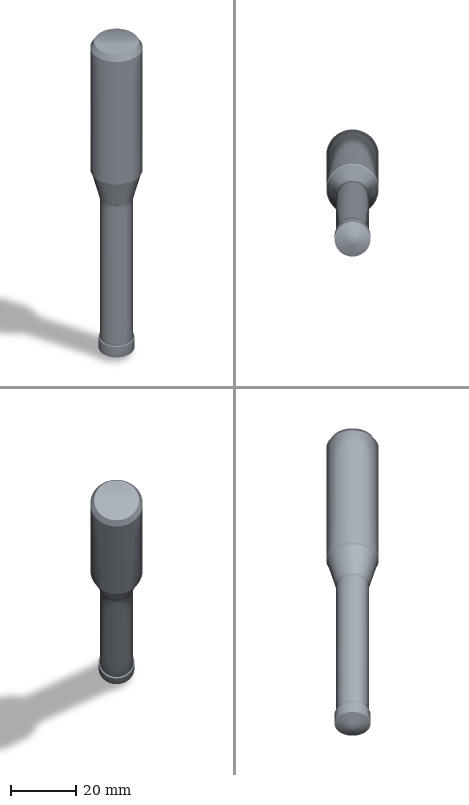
import cadquery as cq

total_length = 117.0
point_height = 2.0
tip_land_length = 4.0
taper_bottom = 58.7
taper_top = 68.9
top_chamfer_height = 2.0

shank_radius = 16.0 / 2
neck_radius = 10.0 / 2
tip_radius = 11.0 / 2
top_chamfer_width = 1.2

taper_bevel = 0.2

tip_top = point_height + tip_land_length


def revolve_profile(points):
    """Turn a closed (radius, height) outline about the Z axis."""
    return cq.Workplane("XZ").polyline(points).close().revolve(360, (0, 0), (0, 1))


def make_holder():
    """Neck, taper and chamfered shank, turned as one piece."""
    return revolve_profile([
        (0, tip_top),
        (neck_radius, tip_top),
        (neck_radius, taper_bottom),
        (neck_radius + taper_bevel, taper_bottom + taper_bevel),
        (shank_radius - taper_bevel, taper_top - taper_bevel),
        (shank_radius, taper_top),
        (shank_radius, total_length - top_chamfer_height),
        (shank_radius - top_chamfer_width, total_length),
        (0, total_length),
    ])


def make_tip():
    """Short cylindrical cutting head with a conical point."""
    return revolve_profile([
        (0, 0),
        (tip_radius, point_height),
        (tip_radius, tip_top),
        (0, tip_top),
    ])


holder = make_holder()
tip = make_tip()

result = cq.Compound.makeCompound([holder.val(), tip.val()])